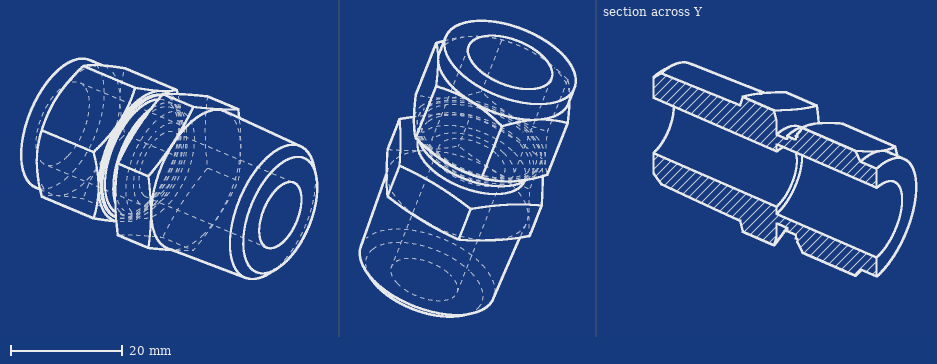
import cadquery as cq
import math


LENGTH = 49.0
NUT_HEX_START = 3.55
NUT_HEX_END = 17.45
NUT_FACE_END = 17.8
NECK_STEP = 19.65
BODY_HEX_START = 21.95
BODY_HEX_END = 30.0
TAPER_START = 30.7

NUT_ACROSS_FLATS = 25.0
NUT_BEVEL_ANGLE = 30.0
BODY_ACROSS_FLATS = 27.0
BODY_BEVEL_ANGLE = 15.0

COLLAR_RADIUS = NUT_ACROSS_FLATS / 2
NUT_FACE_RADIUS = 11.8
NECK_RADIUS = 11.02
NECK_GROOVE_RADIUS = 10.3
TAPER_RADIUS = 13.4
TAPER_SLOPE = 1 / 32
END_CHAMFER = 1.7

BORE_RADIUS = 6.345
SOCKET_RADIUS = 8.01
SOCKET_DEPTH = BODY_HEX_START


def revolve_about_x(points):
    """Turn a closed (x, radius) outline about the X axis."""
    return cq.Workplane("XZ").polyline(points).close().revolve(360, (0, 0, 0), (1, 0, 0))


def hole_from_nut_end(depth, radius):
    """Round cutter on the X axis, starting at the nut end."""
    return cq.Workplane("YZ").circle(radius).extrude(depth)


def beveled_hexagon(start, end, across_flats, bevel_angle):
    """Hexagonal prism whose corners are turned back conically at both ends."""
    corner_radius = across_flats / math.sqrt(3)
    face_radius = across_flats / 2
    bevel_length = (corner_radius - face_radius) * math.tan(math.radians(bevel_angle))
    prism = (
        cq.Workplane("YZ", origin=(start, 0, 0))
        .transformed(rotate=(0, 0, 90))
        .polygon(6, 2 * corner_radius)
        .extrude(end - start)
    )
    envelope = revolve_about_x([
        (start, 0),
        (start, face_radius),
        (start + bevel_length, corner_radius),
        (end - bevel_length, corner_radius),
        (end, face_radius),
        (end, 0),
    ])
    return prism.intersect(envelope)


def turned_core():
    """All the round sections outside the hexagons, as one turned piece."""
    chamfer_start = LENGTH - END_CHAMFER
    taper_end_radius = TAPER_RADIUS - TAPER_SLOPE * (chamfer_start - TAPER_START)
    return revolve_about_x([
        (0, 0),
        (0, COLLAR_RADIUS),
        (NUT_HEX_START, COLLAR_RADIUS),
        (NUT_HEX_START, NUT_FACE_RADIUS),
        (NUT_FACE_END, NUT_FACE_RADIUS),
        (NUT_FACE_END, NECK_RADIUS),
        (NECK_STEP, NECK_RADIUS),
        (NECK_STEP, NECK_GROOVE_RADIUS),
        (BODY_HEX_END, NECK_GROOVE_RADIUS),
        (BODY_HEX_END, TAPER_RADIUS),
        (TAPER_START, TAPER_RADIUS),
        (chamfer_start, taper_end_radius),
        (LENGTH, taper_end_radius - END_CHAMFER),
        (LENGTH, 0),
    ])


nut_hexagon = beveled_hexagon(NUT_HEX_START, NUT_HEX_END, NUT_ACROSS_FLATS, NUT_BEVEL_ANGLE)
body_hexagon = beveled_hexagon(BODY_HEX_START, BODY_HEX_END, BODY_ACROSS_FLATS, BODY_BEVEL_ANGLE)
bore = hole_from_nut_end(LENGTH, BORE_RADIUS)
tube_socket = hole_from_nut_end(SOCKET_DEPTH, SOCKET_RADIUS)

result = (
    turned_core()
    .union(nut_hexagon)
    .union(body_hexagon)
    .cut(bore)
    .cut(tube_socket)
)